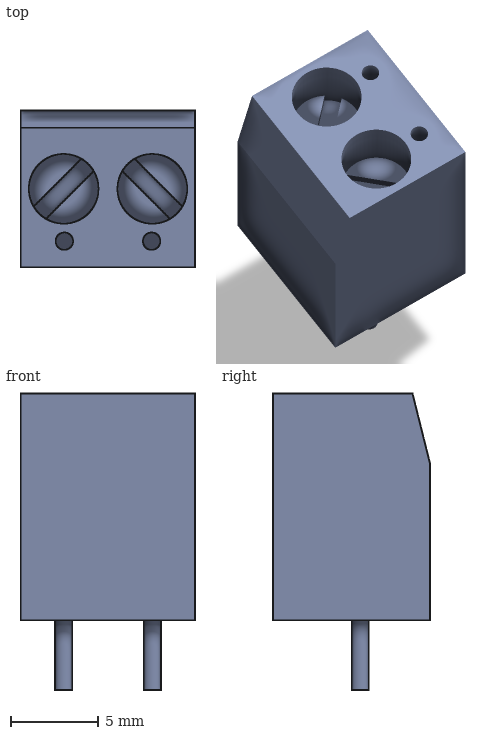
import cadquery as cq


body_width = 10.0
body_depth = 9.0
body_height = 13.0
bevel_depth = 1.0
bevel_height = 4.0
front_y = -body_depth / 2
back_y = body_depth / 2

pole_pitch = 5.08

well_diameter = 4.0
well_depth = 3.0
well_y = 0.0
slot_width = 1.0
slot_depth = 0.5
slot_angle = 45.0

probe_diameter = 1.0
probe_depth = 2.0
probe_pitch = 5.0
probe_y = -3.0

pin_diameter = 1.0
pin_length = 4.0
pin_y = 0.5


def make_housing():
    """Block whose top back edge is bevelled along its whole width."""
    profile = [
        (front_y, 0),
        (back_y, 0),
        (back_y, body_height - bevel_height),
        (back_y - bevel_depth, body_height),
        (front_y, body_height),
    ]
    return cq.Workplane("YZ").polyline(profile).close().extrude(body_width / 2, both=True)


def make_cylinder(diameter, x, y, bottom_z, height):
    """Upright cylinder standing on bottom_z."""
    return cq.Workplane("XY", origin=(x, y, bottom_z)).circle(diameter / 2).extrude(height)


def make_screw_well(side):
    """Cutting shape of one well and its driver slot; the slots mirror each other."""
    x = side * pole_pitch / 2
    floor_z = body_height - well_depth
    well = make_cylinder(well_diameter, x, well_y, floor_z, well_depth)
    slot_round = make_cylinder(well_diameter, x, well_y, floor_z - slot_depth, slot_depth)
    slot_bar = (
        cq.Workplane("XY", origin=(x, well_y, floor_z - slot_depth))
        .transformed(rotate=(0, 0, -side * slot_angle))
        .rect(well_diameter, slot_width)
        .extrude(slot_depth)
    )
    return well.union(slot_round.intersect(slot_bar))


def make_probe_hole(side):
    """Cutting shape of one blind probe hole."""
    x = side * probe_pitch / 2
    return make_cylinder(probe_diameter, x, probe_y, body_height - probe_depth, probe_depth)


def make_pin(side):
    """Solder pin below the housing."""
    x = side * pole_pitch / 2
    return make_cylinder(pin_diameter, x, pin_y, -pin_length, pin_length)


result = make_housing()
for side in (-1, 1):
    result = result.cut(make_screw_well(side))
    result = result.cut(make_probe_hole(side))
    result = result.union(make_pin(side))